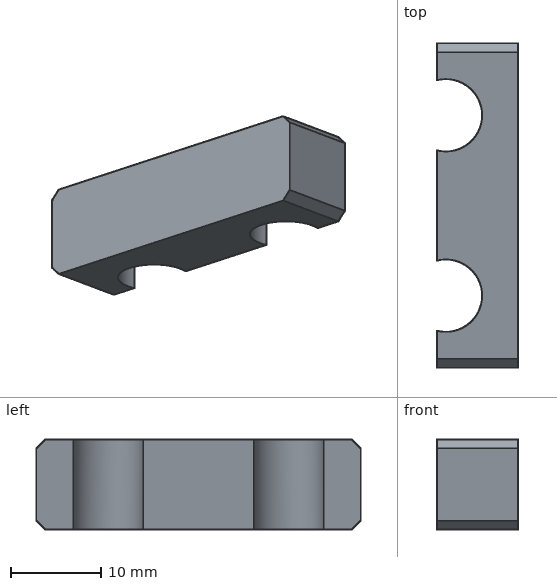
import cadquery as cq

width = 9.0
length = 36.0
height = 10.0

end_chamfer = 1.0

notch_radius = 4.0
notch_spacing = 20.0
back_wall = 4.0

notch_center_x = width - back_wall - notch_radius


def make_block():
    """Bar with its -X face on X = 0, centred on Y, resting on Z = 0."""
    block = cq.Workplane("XY").box(width, length, height, centered=(False, True, False))
    return block.edges("|X").chamfer(end_chamfer)


def make_notches():
    """Vertical cylinders, one for each notch, running the full height."""
    centers = [(notch_center_x, side * notch_spacing / 2) for side in (-1, 1)]
    return cq.Workplane("XY").pushPoints(centers).circle(notch_radius).extrude(height)


result = make_block().cut(make_notches())